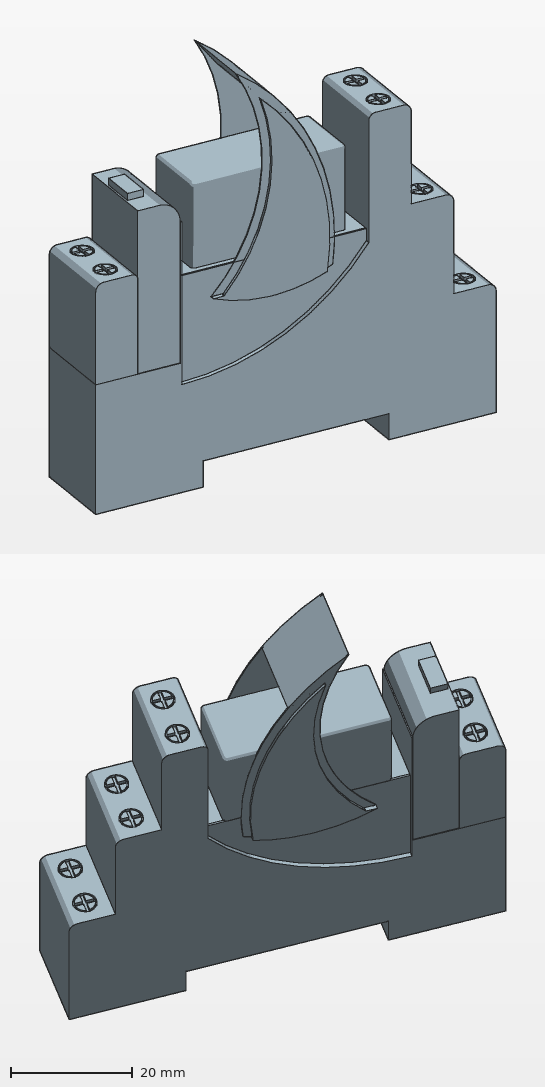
import cadquery as cq


length = 75.3
width = 15.6
step_depth = 8.0
low_step = 23.9
step_rise = 18.5
mid_step = low_step + step_rise
tower_top = mid_step + step_rise
tower_front = length - 3 * step_depth
step_fillet = 1.5
tower_fillet = 1.2
rail_front = 20.25
rail_length = 34.9
rail_height = 4.8

web_top = 39.45
web_width = 13.9
web_front = 16.2
ledge_back = 37.3
ledge_front = 19.9

seat_width = 13.25

module_front = step_depth
module_back = 2 * step_depth
module_width = 15.3
module_top = 53.85
module_fillet = 4.0
wall_top = module_top - module_fillet

indicator_left = -2.8
indicator_width = 6.3
indicator_front = 8.35
indicator_length = 3.0
indicator_top = 55.1

relay_left = -7.0
relay_width = 12.65
relay_front = 19.3
relay_length = 29.15
relay_top = 55.1
relay_fillet = 0.75

lever_left = -7.0
lever_width = 13.9
lever_wall = 0.2
fin_thickness = 0.5
total_height = 74.1
lever_tip = (26.8, total_height)
lever_back_mid = (40.8, 58.65)
lever_back_foot = (45.0, 34.5)
lever_sole = (32.6, 32.0)
lever_front_foot = (22.15, 34.2)
lever_front_mid = (31.8, 58.05)
fin_tip = (31.0, 68.75)
fin_back_mid = (38.4, 60.0)
fin_back_foot = (43.6, 34.4)
fin_front_foot = (24.1, 34.2)
fin_front_mid = (33.1, 58.05)
bar_end_outer = (37.35, 64.2)
bar_end_inner = (34.95, 64.8)
bar_inner_mid = (33.1, 66.8)

screw_rim = 4.0
screw_head = 3.5
screw_spacing = 7.7
screw_slot = 0.6
screw_depth = 0.6


def box(x, y, z, dx, dy, dz):
    """Box from its lowest corner and its sizes."""
    return cq.Workplane("XY").box(dx, dy, dz, centered=False).translate((x, y, z))


def prism(outline, x, thickness):
    """Extrude a closed (Y, Z) outline along +X, starting at x."""
    solid = cq.Solid.extrudeLinear(outline.val(), [], cq.Vector(thickness, 0, 0))
    return cq.Workplane(obj=solid).translate((x, 0, 0))


def side_sketch(start):
    """Start a (Y, Z) outline at the given point."""
    return cq.Workplane("YZ").moveTo(*start)


def screw_recess(y, z):
    """Pair of slotted screw heads, each inside a ring groove, sunk in a flat at height z."""
    centres = [(-screw_spacing / 2, y), (screw_spacing / 2, y)]
    floor = cq.Workplane("XY", origin=(0, 0, z - screw_depth)).pushPoints(centres)
    ring = floor.circle(screw_rim / 2).circle(screw_head / 2).extrude(screw_depth)
    slot_x = floor.rect(screw_head, screw_slot).extrude(screw_depth)
    slot_y = floor.rect(screw_slot, screw_head).extrude(screw_depth)
    return ring.union(slot_x).union(slot_y)


def lever_outline():
    """Curved side outline of the whole lever."""
    return (
        side_sketch(lever_tip)
        .threePointArc(lever_back_mid, lever_back_foot)
        .threePointArc(lever_sole, lever_front_foot)
        .threePointArc(lever_front_mid, lever_tip)
        .close()
    )


def make_lever():
    """Lever with two thin side walls, a crossbar at the tip and a fin on each side."""
    lever = prism(lever_outline(), lever_left, lever_width)

    opening = (
        side_sketch(fin_tip)
        .lineTo(*lever_tip)
        .lineTo(0, total_height)
        .lineTo(0, 0)
        .lineTo(length, 0)
        .lineTo(length, bar_end_outer[1])
        .lineTo(*bar_end_outer)
        .lineTo(*bar_end_inner)
        .threePointArc(bar_inner_mid, fin_tip)
        .close()
    )
    lever = lever.cut(prism(opening, lever_left + lever_wall, lever_width - 2 * lever_wall))

    fin = (
        side_sketch(fin_tip)
        .threePointArc(fin_back_mid, fin_back_foot)
        .lineTo(*fin_front_foot)
        .threePointArc(fin_front_mid, fin_tip)
        .close()
    )
    foot = (
        side_sketch(fin_back_foot)
        .lineTo(fin_back_foot[0], lever_sole[1])
        .lineTo(lever_front_foot[0], lever_sole[1])
        .lineTo(*lever_front_foot)
        .close()
    )
    lever_right = lever_left + lever_width
    left_gap = lever_left + width / 2
    right_gap = width / 2 - lever_right
    for x, gap in ((-width / 2, left_gap), (lever_right, right_gap)):
        foot_solid = prism(foot, x, gap).intersect(prism(lever_outline(), x, gap))
        lever = lever.union(foot_solid)
    for x in (-width / 2, width / 2 - fin_thickness):
        lever = lever.union(prism(fin, x, fin_thickness), clean=False)
    return lever


def make_housing():
    """Stepped housing with rail slot, side recesses and screws."""
    outline = (
        side_sketch((0, 0))
        .lineTo(rail_front, 0)
        .lineTo(rail_front, rail_height)
        .lineTo(rail_front + rail_length, rail_height)
        .lineTo(rail_front + rail_length, 0)
        .lineTo(length, 0)
        .lineTo(length, low_step)
        .lineTo(length - step_depth, low_step)
        .lineTo(length - step_depth, mid_step)
        .lineTo(length - 2 * step_depth, mid_step)
        .lineTo(length - 2 * step_depth, tower_top)
        .lineTo(tower_front, tower_top)
        .lineTo(tower_front, web_top)
        .lineTo(web_front, web_top)
        .lineTo(web_front, wall_top)
        .lineTo(module_back, wall_top)
        .lineTo(module_back, low_step)
        .lineTo(0, low_step)
        .close()
    )
    housing = prism(outline, -width / 2, width)

    for step, top in enumerate((low_step, mid_step, tower_top)):
        back_edge = cq.selectors.NearestToPointSelector((0, length - step * step_depth, top))
        housing = housing.edges(back_edge).fillet(step_fillet)
    front_edge = cq.selectors.NearestToPointSelector((0, tower_front, tower_top))
    housing = housing.edges(front_edge).fillet(tower_fillet)

    run = tower_front - web_front
    rise = ledge_back - ledge_front
    radius = (run**2 + rise**2) / (2 * rise)
    mid_run = run / 2
    mid_rise = radius - (radius**2 - mid_run**2) ** 0.5
    recess = (
        side_sketch((web_front, ledge_front))
        .threePointArc((web_front + mid_run, ledge_front + mid_rise), (tower_front, ledge_back))
        .lineTo(tower_front, web_top)
        .lineTo(web_front, web_top)
        .close()
    )
    recess_depth = (width - web_width) / 2
    for x in (-width / 2, width / 2 - recess_depth):
        housing = housing.cut(prism(recess, x, recess_depth))

    for step, top in enumerate((low_step, mid_step, tower_top)):
        housing = housing.cut(screw_recess(length - (step + 0.5) * step_depth, top))
    return housing


def make_seat():
    """Block that fills the pocket in the central web, under the relay."""
    run = tower_front - web_front
    return box(-seat_width / 2, web_front, low_step, seat_width, run, web_top - low_step)


def make_terminal_block():
    """Front screw terminal block, resting on the low front step."""
    block = box(-width / 2, 0, low_step, width, module_front, mid_step - low_step)
    block = block.edges("|X and >Z and <Y").fillet(step_fillet)
    block = block.edges("|X and >Z and >Y").fillet(tower_fillet)
    return block.cut(screw_recess(step_depth / 2, mid_step))


def make_module():
    """Plug-in module between the terminal block and the thin wall."""
    depth = module_back - module_front
    module = box(-module_width / 2, module_front, low_step, module_width, depth, module_top - low_step)
    return module.edges("|X and >Z and >Y").fillet(module_fillet)


def make_indicator():
    """Small raised window on top of the module."""
    height = indicator_top - module_top
    return box(indicator_left, indicator_front, module_top, indicator_width, indicator_length, height)


def make_relay():
    """Relay with rounded edges, standing on the seat."""
    relay = box(relay_left, relay_front, web_top, relay_width, relay_length, relay_top - web_top)
    return relay.edges("|Z or >Z").fillet(relay_fillet)


lever = make_lever()
seat = make_seat()
housing = make_housing().cut(seat).cut(lever)
terminal_block = make_terminal_block()
module = make_module()
indicator = make_indicator()
relay = make_relay().cut(lever)

result = cq.Compound.makeCompound(
    [
        housing.val(),
        seat.val(),
        terminal_block.val(),
        module.val(),
        indicator.val(),
        relay.val(),
        lever.val(),
    ]
)